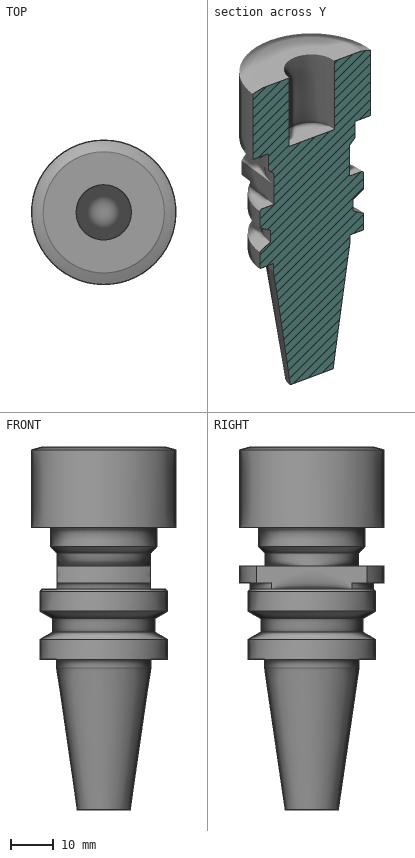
import cadquery as cq
import math


gauge_diameter = 22.225
taper_ratio = 7 / 24
taper_length = 33.4
collar_height = 2.0

flange_diameter = 30.0
flange_top = 18.5
flange_chamfer = 0.5
groove_diameter = 24.0
groove_center = 10.0
groove_floor_width = 3.2
groove_wall_angle = 30.0

ring_diameter = 34.0
ring_bottom = 20.0
ring_top = 24.0
flat_width = 22.0
spacer_diameter = flange_diameter - 2 * flange_chamfer

neck_diameter = 22.0
neck_top = 27.0
shoulder_diameter = 25.0

nut_diameter = 34.0
nut_face_diameter = 28.5
nut_bottom = 33.0
nut_top = 52.0
nut_chamfer_angle = 15.0

bore_diameter = 13.0
bore_depth = nut_top - nut_bottom


def cylinder(diameter, bottom, top):
    """Cylinder on the Z axis between two heights."""
    return cq.Workplane("XY").workplane(offset=bottom).circle(diameter / 2).extrude(top - bottom)


def revolve_profile(points):
    """Solid of revolution about Z from (radius, height) points."""
    return cq.Workplane("YZ").polyline(points).close().revolve(360, (0, 0, 0), (0, 1, 0))


def make_shank():
    gauge_radius = gauge_diameter / 2
    tip_radius = gauge_radius - taper_ratio * taper_length / 2
    return revolve_profile([
        (0, -taper_length),
        (tip_radius, -taper_length),
        (gauge_radius, 0),
        (gauge_radius, collar_height),
        (0, collar_height),
    ])


def make_flange():
    outer_radius = flange_diameter / 2
    floor_radius = groove_diameter / 2
    floor_half = groove_floor_width / 2
    wall_rise = (outer_radius - floor_radius) * math.tan(math.radians(groove_wall_angle))
    mouth_half = floor_half + wall_rise
    return revolve_profile([
        (0, collar_height),
        (outer_radius, collar_height),
        (outer_radius, groove_center - mouth_half),
        (floor_radius, groove_center - floor_half),
        (floor_radius, groove_center + floor_half),
        (outer_radius, groove_center + mouth_half),
        (outer_radius, flange_top - flange_chamfer),
        (outer_radius - flange_chamfer, flange_top),
        (0, flange_top),
    ])


def make_drive_ring():
    spacer = cylinder(spacer_diameter, flange_top, ring_bottom)
    ring = cylinder(ring_diameter, ring_bottom, ring_top)
    flats = (
        cq.Workplane("XY")
        .workplane(offset=flange_top)
        .rect(flat_width, ring_diameter)
        .extrude(ring_top - flange_top)
    )
    return spacer.union(ring).intersect(flats)


def make_neck():
    neck_radius = neck_diameter / 2
    shoulder_radius = shoulder_diameter / 2
    shoulder_bottom = neck_top + shoulder_radius - neck_radius
    return revolve_profile([
        (0, ring_top),
        (neck_radius, ring_top),
        (neck_radius, neck_top),
        (shoulder_radius, shoulder_bottom),
        (shoulder_radius, nut_bottom),
        (0, nut_bottom),
    ])


def make_nut():
    outer_radius = nut_diameter / 2
    face_radius = nut_face_diameter / 2
    chamfer_drop = (outer_radius - face_radius) * math.tan(math.radians(nut_chamfer_angle))
    return revolve_profile([
        (0, nut_bottom),
        (outer_radius, nut_bottom),
        (outer_radius, nut_top - chamfer_drop),
        (face_radius, nut_top),
        (0, nut_top),
    ])


holder = make_shank()
for section in (make_flange(), make_drive_ring(), make_neck(), make_nut()):
    holder = holder.union(section)

bore = cylinder(bore_diameter, nut_top - bore_depth, nut_top)
result = holder.cut(bore)